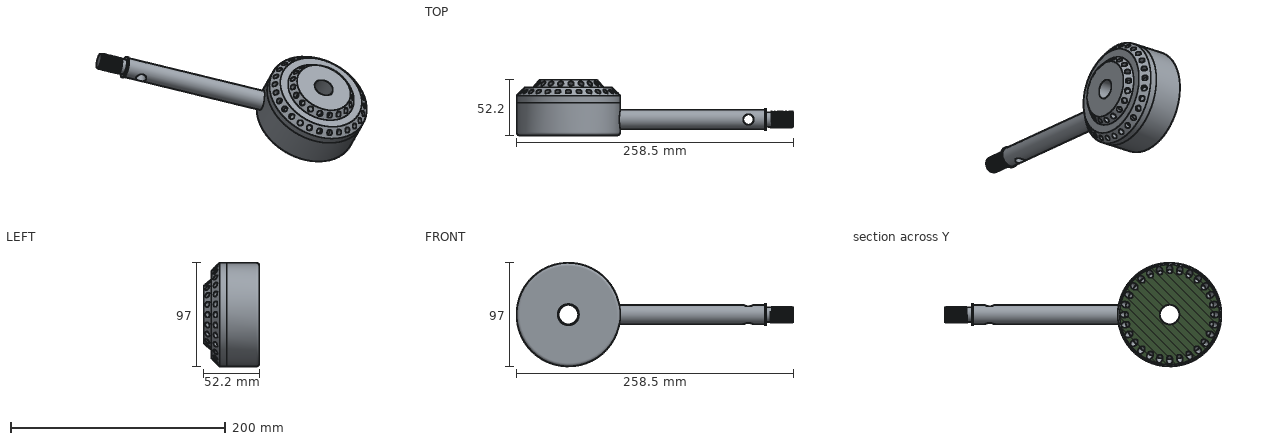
import cadquery as cq
import math


overall_length = 258.5
head_diameter = 97.0
head_radius = head_diameter / 2
head_depth = 52.2
housing_depth = 30.5
front_edge_radius = 3.0
housing_bore_diameter = 20.0
cover_bore_diameter = 18.0

lower_cone_start = 37.2
lower_cone_end = 45.0
lower_cone_top_radius = 40.5
upper_cone_base_radius = 32.8
upper_cone_top_radius = 26.5
lower_hole_count = 28
upper_hole_count = 19
vent_hole_diameter = 5.2
vent_hole_depth = 6.5

handle_diameter = 18.3
handle_axis_y = 15.0
handle_end_x = overall_length - head_radius
socket_floor_x = 38.8
collar_diameter = 20.0
collar_start_x = 183.2
collar_end_x = 184.8
cross_hole_diameter = 9.5
cross_hole_x = 168.0

core_diameter = 14.0
thread_diameter = 15.0
thread_pitch = 1.5
thread_start_x = 188.6
thread_end_x = 209.0
thread_start_angle = 20.0
ridge_base_width = 1.3
ridge_crest_width = 0.3
ridge_overlap = 0.3


def x_cylinder(diameter, start_x, end_x):
    """Cylinder on the handle axis between two X positions."""
    section = cq.Workplane("YZ", origin=(start_x, handle_axis_y, 0)).circle(diameter / 2)
    return section.extrude(end_x - start_x)


def y_cylinder(diameter, start_y, end_y):
    """Cylinder on the head axis between two Y positions."""
    section = cq.Workplane("XZ", origin=(0, start_y, 0)).circle(diameter / 2)
    return section.extrude(start_y - end_y)


def make_housing():
    """Front disc with a rounded edge, a bore and the blind socket for the handle."""
    disc = y_cylinder(head_diameter, 0, housing_depth).faces("<Y").edges().fillet(front_edge_radius)
    bore = y_cylinder(housing_bore_diameter, 0, housing_depth)
    socket = x_cylinder(handle_diameter, socket_floor_x, head_radius)
    return disc.cut(bore).cut(socket)


def vent_holes(count, base_radius, base_y, top_radius, top_y):
    """Ring of blind holes square to a cone, halfway up its slope, the first one at -X."""
    slope_length = math.hypot(base_radius - top_radius, top_y - base_y)
    outward = (top_y - base_y) / slope_length
    backward = (base_radius - top_radius) / slope_length
    middle_radius = (base_radius + top_radius) / 2
    middle_y = (base_y + top_y) / 2
    holes = []
    for index in range(count):
        angle = math.pi + index * 2 * math.pi / count
        normal = cq.Vector(outward * math.cos(angle), backward, outward * math.sin(angle))
        mouth = cq.Vector(middle_radius * math.cos(angle), middle_y, middle_radius * math.sin(angle))
        drill_start = mouth + normal * vent_hole_depth
        holes.append(
            cq.Solid.makeCylinder(vent_hole_diameter / 2, 2 * vent_hole_depth, drill_start, -normal)
        )
    return cq.Workplane(cq.Compound.makeCompound(holes))


def make_cover():
    """Stepped conical cover with a bore and a ring of holes in each cone."""
    bore_radius = cover_bore_diameter / 2
    profile = [
        (bore_radius, housing_depth),
        (head_radius, housing_depth),
        (head_radius, lower_cone_start),
        (lower_cone_top_radius, lower_cone_end),
        (upper_cone_base_radius, lower_cone_end),
        (upper_cone_top_radius, head_depth),
        (bore_radius, head_depth),
    ]
    body = cq.Workplane("XY").polyline(profile).close().revolve(360, (0, 0, 0), (0, 1, 0))
    lower_holes = vent_holes(
        lower_hole_count, head_radius, lower_cone_start, lower_cone_top_radius, lower_cone_end
    )
    upper_holes = vent_holes(
        upper_hole_count, upper_cone_base_radius, lower_cone_end, upper_cone_top_radius, head_depth
    )
    return body.cut(lower_holes).cut(upper_holes)


def make_thread_ridge():
    """Right-hand helical ridge, starting just above the front (-Y) of the core."""
    root_radius = core_diameter / 2 - ridge_overlap
    crest_radius = thread_diameter / 2
    half_base = ridge_base_width / 2
    half_crest = ridge_crest_width / 2
    path = cq.Wire.makeHelix(thread_pitch, thread_end_x - thread_start_x, core_diameter / 2)
    ridge = (
        cq.Workplane("XZ")
        .polyline(
            [
                (root_radius, -half_base),
                (crest_radius, -half_crest),
                (crest_radius, half_crest),
                (root_radius, half_base),
            ]
        )
        .close()
        .sweep(cq.Workplane(path), isFrenet=True)
    )
    upright = ridge.rotate((0, 0, 0), (0, 0, 1), -90 - thread_start_angle)
    return upright.rotate((0, 0, 0), (0, 1, 0), 90).translate((thread_start_x, handle_axis_y, 0))


def make_handle():
    """Round handle with a collar, a cross hole and a threaded end."""
    shaft = x_cylinder(handle_diameter, socket_floor_x, collar_start_x)
    collar = x_cylinder(collar_diameter, collar_start_x, collar_end_x)
    core = x_cylinder(core_diameter, collar_end_x, handle_end_x)
    cross_hole = (
        cq.Workplane("XY", origin=(cross_hole_x, handle_axis_y, 0))
        .circle(cross_hole_diameter / 2)
        .extrude(handle_diameter / 2, both=True)
    )
    return core.union(make_thread_ridge()).union(collar).union(shaft).cut(cross_hole)


housing = make_housing()
cover = make_cover()
handle = make_handle()

bodies = [body.solids().val() for body in (housing, cover, handle)]
result = cq.Compound.makeCompound(bodies)